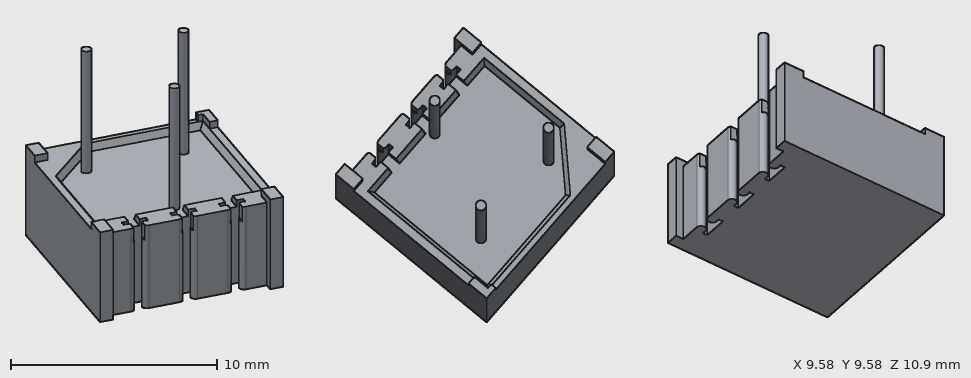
import cadquery as cq
import math

side = 9.58
half_side = side / 2
rim_height = 4.57

standoff_height = 0.38
standoff_length = 1.15
standoff_width = 0.68

tray_depth = 0.36
wall_slope = 32.0
tray_left = -half_side + 0.29
tray_right = half_side - 1.68
tray_half_width = half_side - 0.435
corner_cut = 2.52
floor_level = rim_height - tray_depth

pitch = 2.54
face_recess = 0.43
finger_thickness = 0.51
slot_depth = 0.25
slot_width = 1.27
slot_opening = 0.43
channel_width = 0.59
tip_flat_depth = 0.8
face_x = half_side - face_recess
finger_inner_x = face_x - finger_thickness
slot_inner_x = finger_inner_x - slot_depth

pin_diameter = 0.51
pin_top = rim_height + 6.35
pin_center_x = 0.015
pin_places = [
    (pin_center_x - pitch, -pitch),
    (pin_center_x + pitch, 0),
    (pin_center_x - pitch, pitch),
]


def box(x_min, x_max, y_min, y_max, z_min, z_max):
    """Box between the given limits."""
    return (
        cq.Workplane("XY", origin=(x_min, y_min, z_min))
        .box(x_max - x_min, y_max - y_min, z_max - z_min, centered=False)
    )


def make_standoff(x_sign, y_sign):
    """Raised pad in one corner of the rim."""
    center_x = x_sign * (half_side - standoff_length / 2)
    center_y = y_sign * (half_side - standoff_width / 2)
    return (
        cq.Workplane("XY", origin=(center_x, center_y, rim_height))
        .rect(standoff_length, standoff_width)
        .extrude(standoff_height)
    )


def tray_outline():
    """Tray outline at the rim, with the -X -Y corner cut off."""
    return (
        cq.Workplane("XY", origin=(0, 0, rim_height))
        .moveTo(tray_left + corner_cut, -tray_half_width)
        .lineTo(tray_right, -tray_half_width)
        .lineTo(tray_right, tray_half_width)
        .lineTo(tray_left, tray_half_width)
        .lineTo(tray_left, -tray_half_width + corner_cut)
        .close()
    )


def make_slot(center_y):
    """Full-height T-shaped slot whose opening runs between round finger tips."""
    tip_radius = finger_thickness / 2
    tip_x = face_x - tip_radius
    tip_y = slot_opening / 2
    shoulder_y = tip_y + tip_radius
    slot_end_y = slot_width / 2
    return (
        cq.Workplane("XY", origin=(0, center_y, 0))
        .moveTo(slot_inner_x, -slot_end_y)
        .lineTo(finger_inner_x, -slot_end_y)
        .lineTo(finger_inner_x, -shoulder_y)
        .threePointArc((tip_x, -tip_y), (face_x, -shoulder_y))
        .lineTo(face_x, shoulder_y)
        .threePointArc((tip_x, tip_y), (finger_inner_x, shoulder_y))
        .lineTo(finger_inner_x, slot_end_y)
        .lineTo(slot_inner_x, slot_end_y)
        .close()
        .extrude(rim_height)
    )


def make_channel(center_y):
    """Channel level with the tray floor, from the tray into the slot."""
    channel_start = tray_right - tray_depth * math.tan(math.radians(wall_slope))
    y_min = center_y - channel_width / 2
    return box(channel_start, finger_inner_x, y_min, y_min + channel_width, floor_level, rim_height)


def make_tip_flats(center_y):
    """Cut in line with the channel that flattens the upper part of both finger tips."""
    y_min = center_y - channel_width / 2
    flat_bottom = rim_height - tip_flat_depth
    return box(finger_inner_x, face_x, y_min, y_min + channel_width, flat_bottom, rim_height)


def make_housing():
    body = box(-half_side, half_side, -half_side, half_side, 0, rim_height)
    for x_sign in (-1, 1):
        for y_sign in (-1, 1):
            body = body.union(make_standoff(x_sign, y_sign))

    body = body.cut(tray_outline().extrude(-tray_depth, taper=wall_slope))
    body = body.cut(tray_outline().extrude(standoff_height))

    recess_end_y = half_side - standoff_width
    body = body.cut(box(face_x, half_side, -recess_end_y, recess_end_y, 0, rim_height))

    for row in (-1, 0, 1):
        body = body.cut(make_slot(row * pitch))
        body = body.cut(make_channel(row * pitch))
        body = body.cut(make_tip_flats(row * pitch))
    return body


def make_pin(x, y):
    """Round pin standing on the tray floor."""
    return (
        cq.Workplane("XY", origin=(x, y, floor_level))
        .circle(pin_diameter / 2)
        .extrude(pin_top - floor_level)
    )


housing = make_housing()
pins = [make_pin(x, y) for x, y in pin_places]
result = cq.Compound.makeCompound([housing.val(), *[pin.val() for pin in pins]])